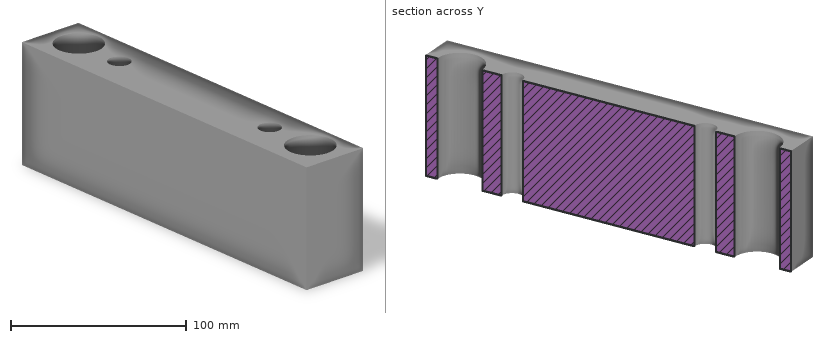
import cadquery as cq

length = 246.0
width = 43.0
height = 76.0

large_diameter = 30.0
large_spacing = 200.0
small_diameter = 14.0
small_spacing = 130.0
back_face_to_holes = 20.0
hole_row_y = width / 2 - back_face_to_holes


def drill_pair(body, diameter, spacing):
    """Drill two through holes on the hole row, centred along the length."""
    centers = [(-spacing / 2, hole_row_y), (spacing / 2, hole_row_y)]
    return body.faces(">Z").workplane(origin=(0, 0, height)).pushPoints(centers).hole(diameter)


block = cq.Workplane("XY").box(length, width, height, centered=(True, True, False))
block = drill_pair(block, large_diameter, large_spacing)
result = drill_pair(block, small_diameter, small_spacing)